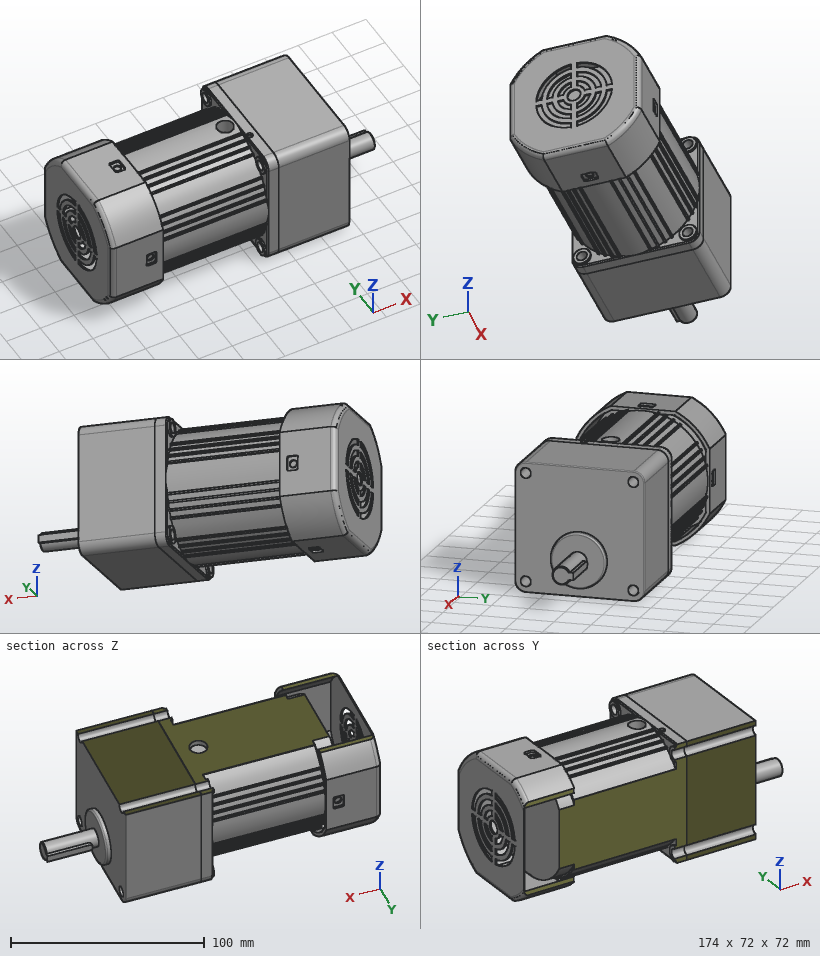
import cadquery as cq

TOTAL_LENGTH = 174.0
COVER_END_X = 31.0
STATOR_START_X = 21.8
FLANGE_START_X = 93.3
GEARBOX_START_X = 99.9
GEARBOX_END_X = 142.0

COVER_WIDTH = 72.0
COVER_CORNER_RADIUS = 40.0
COVER_FILLET = 3.1
COVER_SIDE_WALL = 2.1
COVER_END_WALL = 0.9
SLOT_OUTER_RADII = (9.0, 15.0, 20.9)
SLOT_WIDTH = 3.0
SPOKE_WIDTH = 3.3
HUB_HOLE_RADIUS = 3.7
SCREW_X = 24.0
SCREW_POCKET_LENGTH = 6.0
SCREW_POCKET_WIDTH = 8.0
SCREW_POCKET_CORNER = 1.0
SCREW_POCKET_DEPTH = 1.2
SCREW_HOLE_DIAMETER = 4.0

BODY_WIDTH = 70.0
STATOR_RADIUS = BODY_WIDTH / 2
SPIGOT_RADIUS = COVER_WIDTH / 2 - COVER_SIDE_WALL
RIB_WIDTH = 1.0
RIB_HEIGHT = 0.9
RIBS_PER_TURN = 52
RIB_PITCHES_FROM_FLAT = (2, 3, 4, 5)
CABLE_HOLE_X = 87.7
CABLE_HOLE_DIAMETER = 9.2
CABLE_HOLE_DEPTH = 8.7

CORNER_RADIUS = 6.0
BOLT_OFFSET = BODY_WIDTH / 2 - CORNER_RADIUS
BOLT_HOLE_DIAMETER = 5.5
BOSS_DIAMETER = 9.4
BOSS_HEIGHT = 1.0
FLANGE_CHAMFER = 0.7
CASE_FILLET = 0.5
SET_SCREW_X = 95.5
SET_SCREW_Y = -12.0
SET_SCREW_DIAMETER = 2.1
SET_SCREW_MOUTH_DIAMETER = 3.5
SET_SCREW_DEPTH = 3.5

SHAFT_Z = -15.0
SHAFT_DIAMETER = 10.0
SHAFT_CHAMFER = 0.5
PILOT_RADIUS = 15.0
PILOT_LENGTH = 3.0
PILOT_FILLET = 0.9
KEY_START_X = 148.8
KEY_WIDTH = 4.0
KEY_TOP_Y = 6.5

RIGHT_ANGLE_TURNS = (0, 90, 180, 270)


def section(x):
    """Workplane across the motor axis at station x: local x is +Y, local y is +Z."""
    return cq.Workplane("YZ", origin=(x, 0, 0))


def turned(shape, angle):
    """Copy of a shape turned about the motor axis."""
    return shape.rotate((0, 0, 0), (1, 0, 0), angle)


def rounded_block(start_x, end_x):
    """Square block with rounded long edges, centred on the motor axis."""
    block = section(start_x).rect(BODY_WIDTH, BODY_WIDTH).extrude(end_x - start_x)
    return block.edges("|X").fillet(CORNER_RADIUS)


def at_corners(start_x, diameter, length):
    """Four cylinders along X on the bolt pattern."""
    corners = section(start_x).rect(2 * BOLT_OFFSET, 2 * BOLT_OFFSET, forConstruction=True)
    return corners.vertices().circle(diameter / 2).extrude(length)


def vent_openings():
    """Concentric slots, split into quarters by a cross of spokes, around a hub hole."""
    openings = section(0).circle(HUB_HOLE_RADIUS).extrude(COVER_END_WALL)
    spokes = section(0).rect(COVER_WIDTH, SPOKE_WIDTH).extrude(COVER_END_WALL)
    spokes = spokes.union(turned(spokes, 90))
    for radius in SLOT_OUTER_RADII:
        ring = section(0).circle(radius).circle(radius - SLOT_WIDTH).extrude(COVER_END_WALL)
        openings = openings.union(ring.cut(spokes))
    return openings


def cover_screw_recess():
    """Shallow rounded pocket in the top flat with a hole through the wall to the stator."""
    top = cq.Workplane("XY", origin=(SCREW_X, 0, COVER_WIDTH / 2))
    pocket = top.rect(SCREW_POCKET_LENGTH, SCREW_POCKET_WIDTH).extrude(-SCREW_POCKET_DEPTH)
    pocket = pocket.edges("|Z").fillet(SCREW_POCKET_CORNER)
    hole = top.circle(SCREW_HOLE_DIAMETER / 2).extrude(-COVER_SIDE_WALL)
    return pocket.union(hole)


def cover_block(start_x, inset):
    """Square with bowed corners, shrunk by inset, up to the open end of the cover."""
    length = COVER_END_X - start_x
    width = COVER_WIDTH - 2 * inset
    square = section(start_x).rect(width, width).extrude(length)
    return square.intersect(section(start_x).circle(COVER_CORNER_RADIUS - inset).extrude(length))


def make_fan_cover():
    """Thin-walled cover with vents in its end and a screw recess in each flat."""
    cover = cover_block(0, 0).faces("<X").edges().fillet(COVER_FILLET)
    cover = cover.cut(cover_block(COVER_END_WALL, COVER_SIDE_WALL))
    cover = cover.cut(vent_openings())
    recess = cover_screw_recess()
    for angle in RIGHT_ANGLE_TURNS:
        cover = cover.cut(turned(recess, angle))
    return cover


def make_stator():
    """Round body with a spigot inside the cover and groups of ribs along its outside."""
    spigot = section(STATOR_START_X).circle(SPIGOT_RADIUS).extrude(COVER_END_X - STATOR_START_X)
    stator = section(COVER_END_X).circle(STATOR_RADIUS).extrude(GEARBOX_START_X - COVER_END_X)
    stator = stator.union(spigot)
    rib = section(COVER_END_X).center(STATOR_RADIUS, 0)
    rib = rib.rect(2 * RIB_HEIGHT, RIB_WIDTH).extrude(FLANGE_START_X - COVER_END_X)
    for quarter in RIGHT_ANGLE_TURNS:
        for pitches in RIB_PITCHES_FROM_FLAT:
            angle = pitches * 360 / RIBS_PER_TURN
            stator = stator.union(turned(rib, quarter + angle))
            stator = stator.union(turned(rib, quarter - angle))
    return stator


def make_flange():
    flange = rounded_block(FLANGE_START_X, GEARBOX_START_X).faces("<X").chamfer(FLANGE_CHAMFER)
    boss_start_x = FLANGE_START_X - BOSS_HEIGHT
    flange = flange.union(at_corners(boss_start_x, BOSS_DIAMETER, BOSS_HEIGHT))
    return flange.cut(at_corners(boss_start_x, BOLT_HOLE_DIAMETER, GEARBOX_START_X - boss_start_x))


def cable_hole():
    top = cq.Workplane("XY", origin=(CABLE_HOLE_X, 0, STATOR_RADIUS))
    return top.circle(CABLE_HOLE_DIAMETER / 2).extrude(-CABLE_HOLE_DEPTH)


def set_screw_hole():
    """Small hole in the flange top with a countersunk mouth."""
    mouth_depth = (SET_SCREW_MOUTH_DIAMETER - SET_SCREW_DIAMETER) / 2
    top = cq.Workplane("XY", origin=(SET_SCREW_X, SET_SCREW_Y, BODY_WIDTH / 2))
    hole = top.circle(SET_SCREW_DIAMETER / 2).extrude(-SET_SCREW_DEPTH)
    mouth = top.circle(SET_SCREW_MOUTH_DIAMETER / 2).extrude(-mouth_depth, taper=45)
    return hole.union(mouth)


def make_motor():
    """Stator and mounting flange, with the cable entry and the set screw hole."""
    motor = make_stator().union(make_flange())
    return motor.cut(cable_hole()).cut(set_screw_hole())


def make_key():
    """Key along the +Y side of the shaft, rounded at its inner end."""
    side = cq.Workplane("XZ", origin=(0, 0, SHAFT_Z))
    round_x = KEY_START_X + KEY_WIDTH / 2
    key = (
        side.moveTo(TOTAL_LENGTH, -KEY_WIDTH / 2)
        .lineTo(round_x, -KEY_WIDTH / 2)
        .threePointArc((KEY_START_X, 0), (round_x, KEY_WIDTH / 2))
        .lineTo(TOTAL_LENGTH, KEY_WIDTH / 2)
        .close()
    )
    return key.extrude(-KEY_TOP_Y)


def make_gearbox():
    """Gear case with its pilot, output shaft and key."""
    case = rounded_block(GEARBOX_START_X, GEARBOX_END_X).faces(">X").edges().fillet(CASE_FILLET)
    case = case.cut(at_corners(GEARBOX_START_X, BOLT_HOLE_DIAMETER, GEARBOX_END_X - GEARBOX_START_X))
    axis = section(GEARBOX_END_X).center(0, SHAFT_Z)
    pilot = axis.circle(PILOT_RADIUS).extrude(PILOT_LENGTH).faces(">X").edges().fillet(PILOT_FILLET)
    shaft = axis.circle(SHAFT_DIAMETER / 2).extrude(TOTAL_LENGTH - GEARBOX_END_X)
    shaft = shaft.faces(">X").chamfer(SHAFT_CHAMFER)
    return case.union(pilot).union(shaft).union(make_key())


fan_cover = make_fan_cover().solids()
motor = make_motor().solids()
gearbox = make_gearbox().solids()

result = cq.Compound.makeCompound([fan_cover.val(), motor.val(), gearbox.val()])